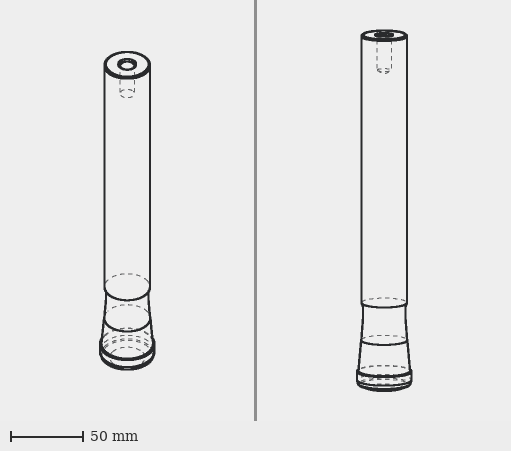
import cadquery as cq
import math

total_height = 250.0
shank_radius = 31.8 / 2
top_chamfer = 1.0
shank_bottom = 60.0

neck_radius = 29.8 / 2
blend_bottom = 57.0
neck_bottom = 48.5

joint_height = 33.5
joint_radius = 16.0

hole_radius = 10.0 / 2
hole_mouth_radius = 6.2
hole_depth = 25.0
drill_point_angle = 118.0

band_bottom = 30.5
band_bottom_radius = 32.8 / 2
skirt_bottom_radius = 36.0 / 2

collar_radius = 38.0 / 2
collar_top = 11.8
collar_bottom = 5.2
top_bevel = 0.5
lower_bevel_width = 0.2
lower_bevel_height = 0.8
rim_radius = 18.2
rim_height = 2.8
rim_bevel_width = 0.8
rim_bevel_height = 0.8
base_radius = 12.2


def revolve_profile(profile):
    """Close a half profile, drawn in the XZ plane, and turn it about Z."""
    return profile.close().revolve(360, (0, 0, 0), (0, 1, 0))


def blend_midpoint():
    """Point halfway up the blend arc, which leaves the neck parallel to Z."""
    width = shank_radius - neck_radius
    height = shank_bottom - blend_bottom
    arc_radius = (width**2 + height**2) / (2 * width)
    sideways = arc_radius - math.sqrt(arc_radius**2 - (height / 2) ** 2)
    return neck_radius + sideways, blend_bottom + height / 2


def make_centre_hole():
    countersink_depth = hole_mouth_radius - hole_radius
    point_depth = hole_radius / math.tan(math.radians(drill_point_angle / 2))
    floor = total_height - hole_depth
    profile = (
        cq.Workplane("XZ")
        .moveTo(0, total_height)
        .lineTo(hole_mouth_radius, total_height)
        .lineTo(hole_radius, total_height - countersink_depth)
        .lineTo(hole_radius, floor)
        .lineTo(0, floor - point_depth)
    )
    return revolve_profile(profile)


def make_shank():
    profile = (
        cq.Workplane("XZ")
        .moveTo(0, joint_height)
        .lineTo(joint_radius, joint_height)
        .lineTo(neck_radius, neck_bottom)
        .lineTo(neck_radius, blend_bottom)
        .threePointArc(blend_midpoint(), (shank_radius, shank_bottom))
        .lineTo(shank_radius, total_height - top_chamfer)
        .lineTo(shank_radius - top_chamfer, total_height)
        .lineTo(0, total_height)
    )
    return revolve_profile(profile).cut(make_centre_hole())


def make_head():
    profile = (
        cq.Workplane("XZ")
        .lineTo(base_radius, 0)
        .lineTo(rim_radius - rim_bevel_width, rim_height - rim_bevel_height)
        .lineTo(rim_radius, rim_height)
        .lineTo(collar_radius - lower_bevel_width, collar_bottom - lower_bevel_height)
        .lineTo(collar_radius, collar_bottom)
        .lineTo(collar_radius, collar_top - top_bevel)
        .lineTo(collar_radius - top_bevel, collar_top)
        .lineTo(skirt_bottom_radius, collar_top)
        .lineTo(band_bottom_radius, band_bottom)
        .lineTo(joint_radius, joint_height)
        .lineTo(0, joint_height)
    )
    return revolve_profile(profile)


shank = make_shank()
head = make_head()
result = cq.Compound.makeCompound([shank.val(), head.val()])